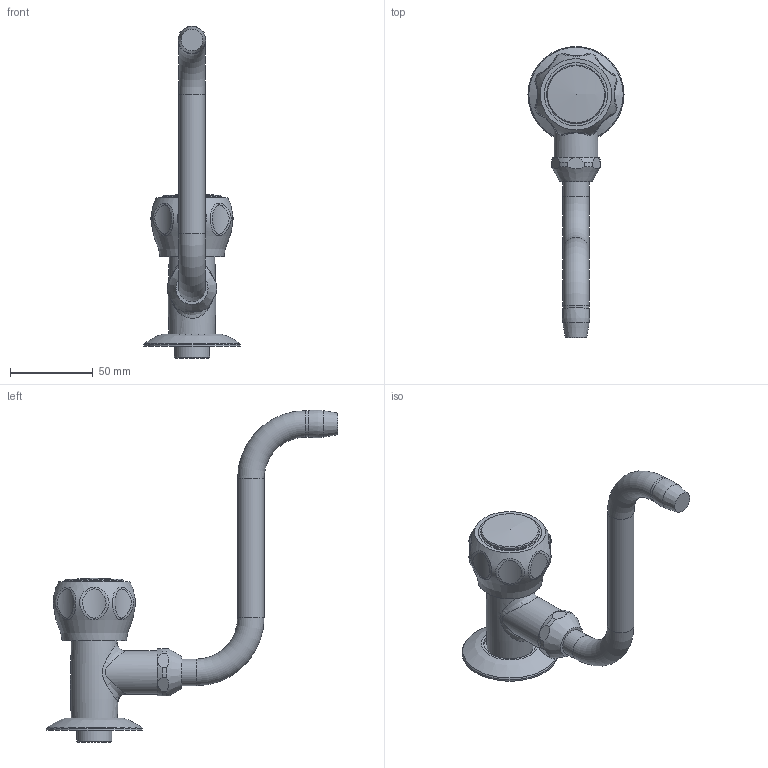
import cadquery as cq
import math


FLANGE_R = 29.0
FLANGE_RIM_R = 28.5
FLANGE_RIM_Z = 2.0
FLANGE_EDGE_H = 1.0
FLANGE_TOP_R = 17.3
FLANGE_TOP_Z = 7.4
FLANGE_DOME_R = 26.0
FLANGE_RECESS_R = 16.0
FLANGE_RECESS_Z = 5.0

STUB_R = 10.6
STUB_LENGTH = 7.0
STUB_CHAMFER = 0.6

BODY_END_R = 13.6
BODY_MID_R = 14.4
OUTLET_Z = 35.0
BODY_TOP_Z = 56.0

OUTLET_R = 13.2
OUTLET_FILLET = 5.0
NUT_START = 38.0
NUT_FULL_START = 41.0
NUT_FULL_END = 43.6
NUT_END = 52.8
NUT_R = 15.0
NUT_APOTHEM = 14.2
NUT_END_R = 9.7
NUT_SIDES = 6

SPOUT_R = 8.0
SPOUT_RISE_Y = 94.5
SPOUT_BEND_R = 33.0
SPOUT_TOP_Z = 185.0
SPOUT_START = 20.0

NOZZLE_R = 8.46
NOZZLE_START = SPOUT_RISE_Y + SPOUT_BEND_R
NOZZLE_COLLAR = 129.2
NOZZLE_TAPER = 138.2
NOZZLE_END = 147.0
NOZZLE_END_R = 6.5

KNOB_BOTTOM_Z = 54.0
KNOB_BOTTOM_R = 19.4
KNOB_WAIST_Z = 66.5
KNOB_WAIST_R = 23.0
KNOB_WIDEST_Z = 78.5
KNOB_WIDEST_R = 26.1
KNOB_SHOULDER_Z = 86.0
KNOB_SHOULDER_R = 23.3
KNOB_TOP_Z = 89.6
KNOB_TOP_R = 21.5
CAP_R = 17.7
CAP_EDGE_Z = 91.1
CAP_CROWN_Z = 91.8
CAP_CHAMFER = 0.5
CAP_WALL_TOP_Z = 90.2
CAP_RECESS_R = 19.1
CAP_RECESS_DEPTH = 0.3

SCALLOPS = 8
SCALLOP_R = 20.0
SCALLOP_FLOOR_R = 23.3
SCALLOP_FILLET = 2.6


def revolve_z(profile):
    """Turn an (r, z) profile about the Z axis."""
    return profile.close().revolve(360, (0, 0, 0), (0, 1, 0))


def revolve_y(profile):
    """Turn a (y, r) profile about the horizontal axis through its own origin."""
    return profile.close().revolve(360, (0, 0, 0), (1, 0, 0))


def arc_bulge(r0, z0, r1, z1, radius):
    """Mid point of the outward arc of the given radius from (r0, z0) up to (r1, z1)."""
    dr = r1 - r0
    dz = z1 - z0
    chord = math.hypot(dr, dz)
    sagitta = radius - math.sqrt(radius ** 2 - (chord / 2) ** 2)
    return ((r0 + r1) / 2 + sagitta * dz / chord, (z0 + z1) / 2 - sagitta * dr / chord)


def tangent_radius(rise, run):
    """Radius of an arc that leaves its start tangent and drops by rise over the distance run."""
    return (rise ** 2 + run ** 2) / (2 * rise)


def make_flange():
    """Domed wall flange with a shallow recess around the body."""
    dome_mid = arc_bulge(FLANGE_RIM_R, FLANGE_RIM_Z, FLANGE_TOP_R, FLANGE_TOP_Z, FLANGE_DOME_R)
    profile = (
        cq.Workplane("XZ")
        .lineTo(FLANGE_R, 0)
        .lineTo(FLANGE_R, FLANGE_EDGE_H)
        .lineTo(FLANGE_RIM_R, FLANGE_RIM_Z)
        .threePointArc(dome_mid, (FLANGE_TOP_R, FLANGE_TOP_Z))
        .lineTo(FLANGE_RECESS_R, FLANGE_TOP_Z)
        .lineTo(FLANGE_RECESS_R, FLANGE_RECESS_Z)
        .lineTo(0, FLANGE_RECESS_Z)
    )
    return revolve_z(profile)


def make_stub():
    """Inlet stub with a chamfered end."""
    stub = cq.Workplane("XY").circle(STUB_R).extrude(-STUB_LENGTH)
    return stub.faces("<Z").chamfer(STUB_CHAMFER)


def make_body():
    """Barrel body with the outlet branch blended into its side."""
    profile = (
        cq.Workplane("XZ")
        .lineTo(BODY_END_R, 0)
        .threePointArc((BODY_MID_R, BODY_TOP_Z / 2), (BODY_END_R, BODY_TOP_Z))
        .lineTo(0, BODY_TOP_Z)
    )
    barrel = revolve_z(profile)
    branch = cq.Workplane("XZ").center(0, OUTLET_Z).circle(OUTLET_R).extrude(NUT_START)
    reach = BODY_MID_R + OUTLET_FILLET
    junction_zone = cq.selectors.BoxSelector(
        (-reach, -reach, OUTLET_Z - reach),
        (reach, 0, OUTLET_Z + reach),
    )
    joined = barrel.union(branch)
    return joined.edges(junction_zone).fillet(OUTLET_FILLET)


def make_nut():
    """Turned nut with shallow hexagon flats on its widest band."""
    profile = (
        cq.Workplane("YZ", origin=(0, 0, OUTLET_Z))
        .moveTo(-NUT_START, 0)
        .lineTo(-NUT_START, NUT_APOTHEM)
        .lineTo(-NUT_FULL_START, NUT_R)
        .lineTo(-NUT_FULL_END, NUT_R)
        .lineTo(-NUT_END, NUT_END_R)
        .lineTo(-NUT_END, 0)
    )
    corner_diameter = 2 * NUT_APOTHEM / math.cos(math.pi / NUT_SIDES)
    hexagon = (
        cq.Workplane("XZ")
        .center(0, OUTLET_Z)
        .polygon(NUT_SIDES, corner_diameter)
        .extrude(NUT_END)
    )
    return revolve_y(profile).intersect(hexagon)


def make_spout():
    """Round tube swept out, up and out again."""
    corner = SPOUT_BEND_R * (1 - math.sqrt(0.5))
    path = (
        cq.Workplane("YZ")
        .moveTo(-SPOUT_START, OUTLET_Z)
        .lineTo(-SPOUT_RISE_Y + SPOUT_BEND_R, OUTLET_Z)
        .threePointArc(
            (-SPOUT_RISE_Y + corner, OUTLET_Z + corner),
            (-SPOUT_RISE_Y, OUTLET_Z + SPOUT_BEND_R),
        )
        .lineTo(-SPOUT_RISE_Y, SPOUT_TOP_Z - SPOUT_BEND_R)
        .threePointArc(
            (-SPOUT_RISE_Y - corner, SPOUT_TOP_Z - corner),
            (-NOZZLE_START, SPOUT_TOP_Z),
        )
    )
    section = cq.Workplane("XZ", origin=(0, -SPOUT_START, OUTLET_Z)).circle(SPOUT_R)
    return section.sweep(path)


def make_nozzle():
    """Hose nozzle: short neck, barrel shaped collar and a tapered tip."""
    profile = (
        cq.Workplane("YZ", origin=(0, 0, SPOUT_TOP_Z))
        .moveTo(-NOZZLE_START, 0)
        .lineTo(-NOZZLE_START, SPOUT_R)
        .lineTo(-NOZZLE_COLLAR, SPOUT_R)
        .threePointArc((-(NOZZLE_COLLAR + NOZZLE_TAPER) / 2, NOZZLE_R), (-NOZZLE_TAPER, SPOUT_R))
        .lineTo(-NOZZLE_END, NOZZLE_END_R)
        .lineTo(-NOZZLE_END, 0)
    )
    return revolve_y(profile)


def make_knob():
    """Curved handwheel with rounded finger scallops and a shallow recess under the cap."""
    profile = (
        cq.Workplane("XZ")
        .moveTo(0, KNOB_BOTTOM_Z)
        .lineTo(KNOB_BOTTOM_R, KNOB_BOTTOM_Z)
        .spline(
            [
                (KNOB_WAIST_R, KNOB_WAIST_Z),
                (KNOB_WIDEST_R, KNOB_WIDEST_Z),
                (KNOB_SHOULDER_R, KNOB_SHOULDER_Z),
                (KNOB_TOP_R, KNOB_TOP_Z),
            ],
            includeCurrent=True,
        )
        .lineTo(CAP_RECESS_R, KNOB_TOP_Z)
        .lineTo(CAP_RECESS_R, KNOB_TOP_Z - CAP_RECESS_DEPTH)
        .lineTo(0, KNOB_TOP_Z - CAP_RECESS_DEPTH)
    )
    knob = revolve_z(profile)
    cutters = (
        cq.Workplane("XY", origin=(0, 0, KNOB_BOTTOM_Z))
        .polarArray(SCALLOP_FLOOR_R + SCALLOP_R, 0, 360, SCALLOPS)
        .circle(SCALLOP_R)
        .extrude(KNOB_TOP_Z - KNOB_BOTTOM_Z, combine=False)
    )
    for cutter in cutters.vals():
        knob = knob.cut(cq.Workplane(cutter))
    rim_zone = cq.selectors.BoxSelector(
        (-KNOB_WIDEST_R, -KNOB_WIDEST_R, KNOB_WAIST_Z),
        (KNOB_WIDEST_R, KNOB_WIDEST_R, KNOB_SHOULDER_Z),
    )
    return knob.edges(rim_zone).fillet(SCALLOP_FILLET)


def make_cap():
    """Low domed disc on top of the knob."""
    crown_edge_r = CAP_R - CAP_CHAMFER
    crown_r = tangent_radius(CAP_CROWN_Z - CAP_EDGE_Z, crown_edge_r)
    crown_mid = arc_bulge(crown_edge_r, CAP_EDGE_Z, 0, CAP_CROWN_Z, crown_r)
    recess_floor_z = KNOB_TOP_Z - CAP_RECESS_DEPTH
    profile = (
        cq.Workplane("XZ")
        .moveTo(0, recess_floor_z)
        .lineTo(CAP_R, recess_floor_z)
        .lineTo(CAP_R, CAP_WALL_TOP_Z)
        .lineTo(crown_edge_r, CAP_EDGE_Z)
        .threePointArc(crown_mid, (0, CAP_CROWN_Z))
    )
    return revolve_z(profile)


result = (
    make_body()
    .union(make_flange())
    .union(make_stub())
    .union(make_nut())
    .union(make_spout())
    .union(make_nozzle())
    .union(make_knob())
    .union(make_cap())
)